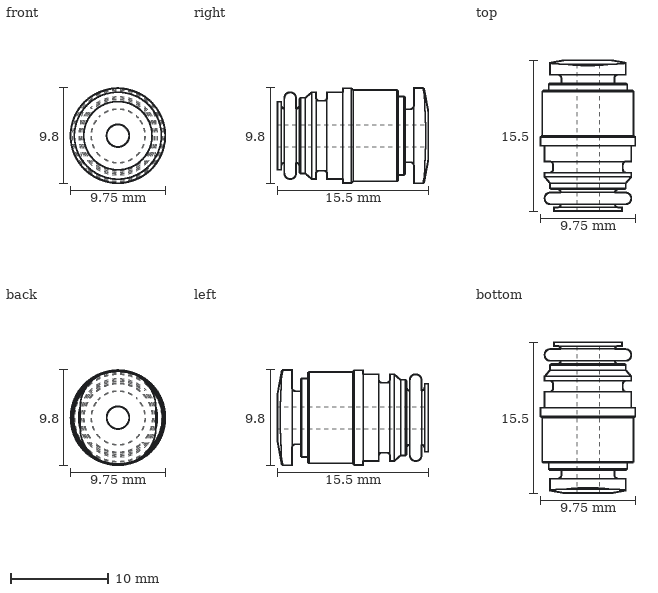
import cadquery as cq
import math

length = 15.5
head_end = 1.5
collar_start = 2.37
body_start = 3.1
body_end = 7.73
flange_start = 7.9
flange_end = 8.79
groove_start = 10.42
groove_end = 11.53
ridge_end = 11.98
land_start = 12.63
land_end = 13.27
ring_start = 13.58
ring_end = 14.8
nose_start = 15.1

head_crown_diameter = 4.9
neck_diameter = 5.47
collar_diameter = 8.09
body_diameter = 9.4
flange_diameter = 9.75
skirt_diameter = 8.93
groove_diameter = 7.2
land_diameter = 7.8
seat_diameter = 5.6
ring_diameter = 8.93
nose_diameter = 7.0
bore_diameter = 2.3

head_width = 7.8
head_height = 9.8
crown_angle = 10.3
head_rim_bevel = 0.14

edge_bevel = 0.14
neck_fillet_radius = 0.35
groove_fillet_radius = 0.3
seat_fillet_radius = 0.3


def revolve_about_y(profile):
    return profile.close().revolve(360, (0, 0, 0), (0, 1, 0))


def disc(start, end, diameter, start_bevel=0.0, end_bevel=0.0):
    """Round section between two stations, with optional bevelled rims."""
    radius = diameter / 2
    points = [(0, -start), (radius - start_bevel, -start)]
    if start_bevel:
        points.append((radius, -start - start_bevel))
    if end_bevel:
        points.append((radius, -end + end_bevel))
    points += [(radius - end_bevel, -end), (0, -end)]
    return revolve_about_y(cq.Workplane("XY").polyline(points))


def cone(start, end, start_diameter, end_diameter):
    points = [(0, -start), (start_diameter / 2, -start), (end_diameter / 2, -end), (0, -end)]
    return revolve_about_y(cq.Workplane("XY").polyline(points))


def fillet_ring(wall, tangent_end, diameter):
    """Concave quarter-round that joins a groove floor to the wall beside it."""
    radius = diameter / 2
    fillet_radius = abs(wall - tangent_end)
    diagonal = math.sqrt(0.5)
    middle = (
        radius + fillet_radius * (1 - diagonal),
        -tangent_end - (wall - tangent_end) * diagonal,
    )
    profile = (
        cq.Workplane("XY")
        .moveTo(0, -tangent_end)
        .lineTo(radius, -tangent_end)
        .threePointArc(middle, (radius + fillet_radius, -wall))
        .lineTo(0, -wall)
    )
    return revolve_about_y(profile)


def make_head():
    obround = (
        cq.Workplane("XZ")
        .slot2D(head_height, head_width, 90)
        .extrude(head_end)
    )
    crown_radius = head_crown_diameter / 2
    rim_radius = head_height / 2
    bevel_radius = rim_radius - head_rim_bevel
    crown_drop = (bevel_radius - crown_radius) * math.tan(math.radians(crown_angle))
    envelope = revolve_about_y(cq.Workplane("XY").polyline([
        (0, 0),
        (crown_radius, 0),
        (bevel_radius, -crown_drop),
        (rim_radius, -crown_drop - head_rim_bevel),
        (rim_radius, -head_end),
        (0, -head_end),
    ]))
    return obround.intersect(envelope)


def make_sealing_ring():
    tube_radius = (ring_end - ring_start) / 2
    tube_centre = ring_diameter / 2 - tube_radius
    profile = (
        cq.Workplane("XY")
        .moveTo(0, -ring_start)
        .lineTo(tube_centre, -ring_start)
        .threePointArc((ring_diameter / 2, -ring_start - tube_radius), (tube_centre, -ring_end))
        .lineTo(0, -ring_end)
    )
    return revolve_about_y(profile)


sections = [
    disc(head_end, collar_start, neck_diameter),
    fillet_ring(head_end, head_end + neck_fillet_radius, neck_diameter),
    disc(collar_start, body_start, collar_diameter, start_bevel=edge_bevel),
    disc(body_start, body_end, body_diameter, start_bevel=edge_bevel),
    cone(body_end, flange_start, body_diameter, flange_diameter),
    disc(flange_start, flange_end, flange_diameter),
    disc(flange_end, groove_start, skirt_diameter),
    disc(groove_start, groove_end, groove_diameter),
    fillet_ring(groove_start, groove_start + groove_fillet_radius, groove_diameter),
    fillet_ring(groove_end, groove_end - groove_fillet_radius, groove_diameter),
    disc(groove_end, ridge_end, skirt_diameter),
    cone(ridge_end, land_start, skirt_diameter, land_diameter),
    disc(land_start, land_end, land_diameter, end_bevel=edge_bevel),
    disc(land_end, nose_start, seat_diameter),
    fillet_ring(land_end, land_end + seat_fillet_radius, seat_diameter),
    make_sealing_ring(),
    fillet_ring(nose_start, nose_start - seat_fillet_radius, seat_diameter),
    disc(nose_start, length, nose_diameter),
]

solid = make_head()
for section in sections:
    solid = solid.union(section)

bore = disc(0, length, bore_diameter)

result = solid.cut(bore).translate((0, length, 0))